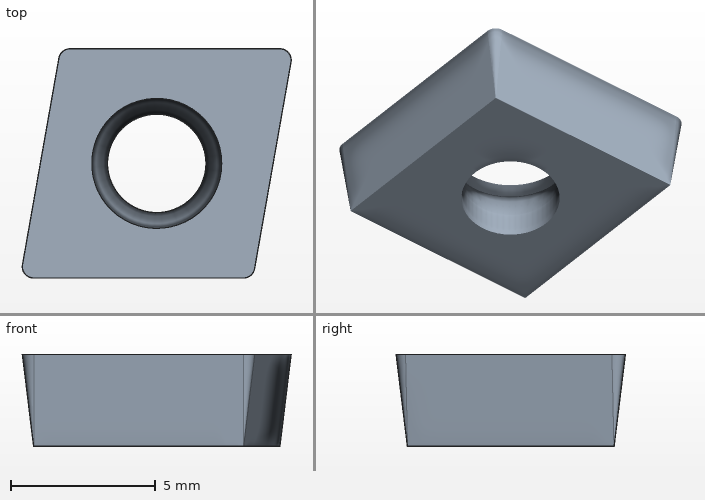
import cadquery as cq
import math

inscribed_diameter = 7.94
thickness = 3.18
corner_angle = 80.0
relief_angle = 7.0
corner_radius = 0.4

mouth_diameter = 4.5
bore_diameter = 3.4
mouth_depth = 0.6
seat_radius = 2.5


def rhombus(z, half_width, radius):
    """Closed rounded rhombus at height z; half_width is the centre-to-side distance."""
    half_side = half_width / math.sin(math.radians(corner_angle))
    lean = half_width / math.tan(math.radians(corner_angle))
    corners = [
        (-half_side - lean, -half_width),
        (half_side - lean, -half_width),
        (half_side + lean, half_width),
        (-half_side + lean, half_width),
    ]
    outline = cq.Workplane("XY").polyline(corners).close().wire().val()
    rounded = outline.fillet2D(radius, outline.Vertices())
    return rounded.translate(cq.Vector(0, 0, z))


def insert_body():
    """Rounded rhombus narrowing downwards by the relief angle, with conical corners."""
    inset = thickness * math.tan(math.radians(relief_angle))
    half_width = inscribed_diameter / 2
    bottom = rhombus(0, half_width - inset, corner_radius - inset)
    top = rhombus(thickness, half_width, corner_radius)
    return cq.Workplane(cq.Solid.makeLoft([bottom, top], True))


def screw_hole():
    """Revolved cutter whose seat arc bulges inwards and ends tangent to the bore wall."""
    mouth_radius = mouth_diameter / 2
    bore_radius = bore_diameter / 2
    seat_top = thickness - mouth_depth
    arc_centre = bore_radius + seat_radius
    sweep = math.acos((arc_centre - mouth_radius) / seat_radius)
    seat_bottom = seat_top - seat_radius * math.sin(sweep)
    seat_middle = (
        arc_centre - seat_radius * math.cos(sweep / 2),
        seat_bottom + seat_radius * math.sin(sweep / 2),
    )
    profile = (
        cq.Workplane("XZ")
        .moveTo(0, 0)
        .lineTo(bore_radius, 0)
        .lineTo(bore_radius, seat_bottom)
        .threePointArc(seat_middle, (mouth_radius, seat_top))
        .lineTo(mouth_radius, thickness)
        .lineTo(0, thickness)
        .close()
    )
    return profile.revolve(360, (0, 0, 0), (0, 1, 0))


result = insert_body().cut(screw_hole())